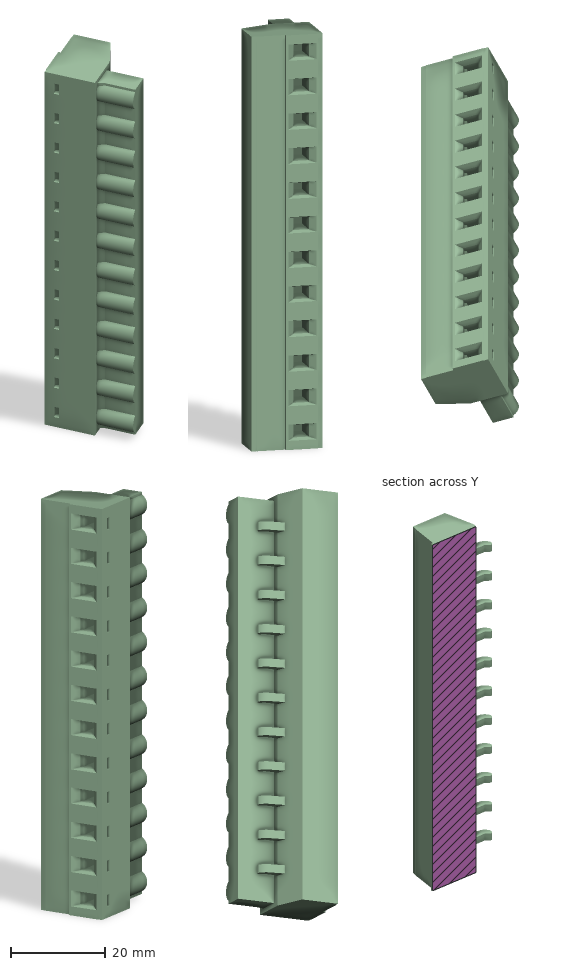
import cadquery as cq

length = 90.0
pole_count = 12
pitch = length / pole_count
pole_heights = [(i + 0.5) * pitch for i in range(pole_count)]
gap_heights = [i * pitch for i in range(1, pole_count)]

body_width = 11.5
body_depth = 15.5
shoulder_width = 9.0
slope_foot = 8.55
step_y = 8.1
step_x = 0.5
edge_relief = 0.1
front_strip = 1.1
back_strip = 1.2

plug_end = 19.9
plug_margin = 1.0
plug_back = 6.75
plug_front = 2.1
plug_root_front = 1.6
plug_root_length = 1.5
rib_front = 0.8
rib_half_width = 2.2
rib_rise = plug_front - rib_front
rib_radius = (rib_half_width**2 + rib_rise**2) / (2 * rib_rise)

entry_front, entry_back = 1.35, 7.6
entry_height = 3.5
throat_front, throat_back = 2.7, 6.2
throat_height = 2.8
funnel_depth = 1.35
ledge_start, ledge_end = 2.25, 2.4
bore_back = 5.8
bore_depth = 7.2

slot_left, slot_right = 2.2, 3.3
slot_height = 2.6
slot_floor_break = 3.0
slot_floor_start = 1.1
slot_floor_end = 1.35
slot_deep = 2.0

finger_height = 1.8
finger_root = 10.35
finger_exit = 10.9
finger_reach = 16.1
finger_underside, finger_top = 8.55, 10.7
finger_tip = 7.8
bend_start = (14.6, 10.1)
bend_middle = (15.5, 9.5)
bend_end = (finger_reach, 8.7)
tip_start = (finger_reach, 8.4)
tip_middle = (15.8, 7.9)
tip_end = (15.6, finger_tip)
hook_inner = (15.3, 7.9)
hook_root = (14.4, finger_underside)


def make_housing():
    return (
        cq.Workplane("XY")
        .moveTo(edge_relief, 0)
        .lineTo(body_width, 0)
        .lineTo(body_width, slope_foot)
        .lineTo(shoulder_width, body_depth)
        .lineTo(step_x + edge_relief, body_depth)
        .lineTo(step_x + edge_relief, body_depth - back_strip)
        .lineTo(step_x, body_depth - back_strip)
        .lineTo(step_x, step_y)
        .lineTo(0, step_y)
        .lineTo(0, front_strip)
        .lineTo(edge_relief, front_strip)
        .close()
        .extrude(length)
    )


def make_plug_block():
    return (
        cq.Workplane("XY", origin=(0, 0, plug_margin))
        .moveTo(body_width, plug_root_front)
        .lineTo(body_width + plug_root_length, plug_front)
        .lineTo(plug_end, plug_front)
        .lineTo(plug_end, plug_back)
        .lineTo(body_width, plug_back)
        .close()
        .extrude(length - 2 * plug_margin)
    )


def make_rib(z):
    """Round-fronted rib along the plug block, sunk into the block behind it."""
    return (
        cq.Workplane("YZ", origin=(body_width, 0, 0))
        .center(rib_front + rib_radius, z)
        .circle(rib_radius)
        .extrude(plug_end - body_width)
    )


def make_finger(z):
    """Hooked coding finger that reaches out from the slope beside the plug block."""
    return (
        cq.Workplane("XY", origin=(0, 0, z - finger_height / 2))
        .moveTo(finger_root, finger_underside)
        .lineTo(finger_root, finger_top)
        .lineTo(finger_exit, finger_top)
        .lineTo(*bend_start)
        .threePointArc(bend_middle, bend_end)
        .lineTo(*tip_start)
        .threePointArc(tip_middle, tip_end)
        .lineTo(*hook_inner)
        .lineTo(*hook_root)
        .close()
        .extrude(finger_height)
    )


def make_wire_entry(z):
    """Tapered funnel, rectangular throat and a narrower bore behind it."""
    funnel = (
        cq.Workplane("YZ", origin=(0, 0, z))
        .center((entry_front + entry_back) / 2, 0)
        .rect(entry_back - entry_front, entry_height)
        .workplane(offset=funnel_depth)
        .center((throat_front + throat_back - entry_front - entry_back) / 2, 0)
        .rect(throat_back - throat_front, throat_height)
        .loft(ruled=True)
    )
    throat = (
        cq.Workplane("XY", origin=(0, 0, z - throat_height / 2))
        .moveTo(funnel_depth, throat_front)
        .lineTo(bore_depth, throat_front)
        .lineTo(bore_depth, bore_back)
        .lineTo(ledge_end, bore_back)
        .lineTo(ledge_start, throat_back)
        .lineTo(funnel_depth, throat_back)
        .close()
        .extrude(throat_height)
    )
    return funnel.union(throat)


def make_test_slot(z):
    """Small pocket in the front face; its floor slopes deeper and then drops."""
    return (
        cq.Workplane("XY", origin=(0, 0, z - slot_height / 2))
        .moveTo(slot_left, 0)
        .lineTo(slot_right, 0)
        .lineTo(slot_right, slot_deep)
        .lineTo(slot_floor_break, slot_deep)
        .lineTo(slot_floor_break, slot_floor_end)
        .lineTo(slot_left, slot_floor_start)
        .close()
        .extrude(slot_height)
    )


result = make_housing().union(make_plug_block())
for height in gap_heights:
    result = result.union(make_finger(height))
for height in pole_heights:
    result = result.union(make_rib(height))
    result = result.cut(make_wire_entry(height)).cut(make_test_slot(height))